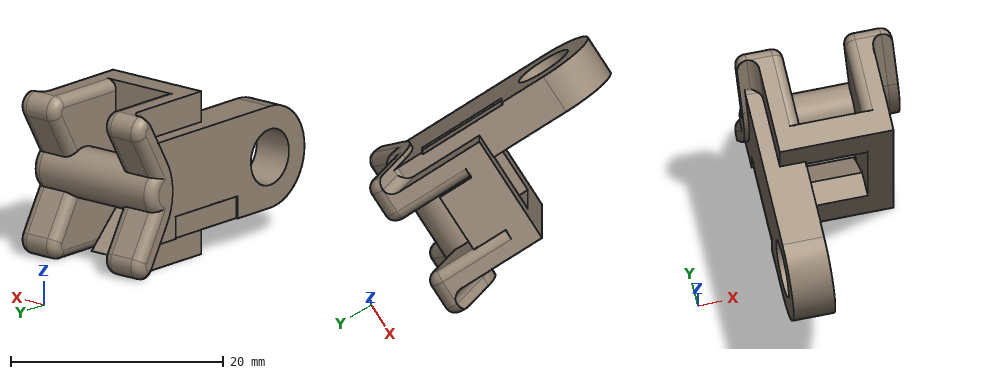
import cadquery as cq
import math

LENGTH = 24.5
WIDTH = 15.0
HEIGHT = 16.0

ARM_RADIUS = 5.0
HOLE_DIAMETER = 5.5
ARM_INSET = 0.5
ARM_ROOT_RADIUS = 0.5

LABEL_LENGTH = 8.95
LABEL_HEIGHT = 2.2
LABEL_START = 4.65
LABEL_DEPTH = 0.2

BRACKET_DEPTH = 11.4
WALL = 2.5
FLANGE_REACH = 2.0
WINDOW_HEIGHT = 8.95

FOOT_ANGLE = math.radians(45)

FLARE_ANGLE = math.radians(30)
FLANGE_THICKNESS = 2.0
TIP_RADIUS = 1.5
FLANGE_BEND_RADIUS = 6.0
EDGE_RADIUS = 1.0

PIN_RADIUS = 2.5
PIN_FROM_BACK = 7.0

front_y = LENGTH - ARM_RADIUS
back_y = front_y - BRACKET_DEPTH
pin_y = back_y + PIN_FROM_BACK
half_height = HEIGHT / 2
wall_inner_x = FLANGE_REACH + WALL
channel = WIDTH - 2 * wall_inner_x
slope = math.tan(FLARE_ANGLE)
tip_y = front_y - TIP_RADIUS
tip_to_rear = FLANGE_THICKNESS - TIP_RADIUS
tip_end_angle = math.pi - FLARE_ANGLE - math.acos(tip_to_rear / TIP_RADIUS)
tip_z = half_height - TIP_RADIUS * math.sin(tip_end_angle)
front_apex_y = tip_y + TIP_RADIUS / math.cos(FLARE_ANGLE) - tip_z * slope
rear_apex_y = front_apex_y - FLANGE_THICKNESS / math.cos(FLARE_ANGLE)


def plane_at(x):
    """YZ plane at the given X: local x is Y, local y is Z, the normal is +X."""
    return cq.Workplane("YZ", origin=(x, 0, 0))


def block(x_start, x_end, y_start, y_end, height):
    """Box centred on Z = 0."""
    size = (x_end - x_start, y_end - y_start, height)
    return cq.Workplane("XY").box(*size, centered=(False, False, True)).translate((x_start, y_start, 0))


def wall_plate():
    """Side wall at full reach, its front a V with round tips, its outline rounded on both faces."""
    tangent_y = tip_y + TIP_RADIUS * math.cos(FLARE_ANGLE)
    tangent_z = tip_z - TIP_RADIUS * math.sin(FLARE_ANGLE)
    end_y = tip_y + TIP_RADIUS * math.cos(tip_end_angle)
    mid_angle = (tip_end_angle - FLARE_ANGLE) / 2
    mid_y = tip_y + TIP_RADIUS * math.cos(mid_angle)
    mid_z = tip_z + TIP_RADIUS * math.sin(mid_angle)
    plate = (
        plane_at(0)
        .moveTo(back_y, -half_height)
        .lineTo(end_y, -half_height)
        .threePointArc((mid_y, -mid_z), (tangent_y, -tangent_z))
        .lineTo(front_apex_y, 0)
        .lineTo(tangent_y, tangent_z)
        .threePointArc((mid_y, mid_z), (end_y, half_height))
        .lineTo(back_y, half_height)
        .close()
        .extrude(wall_inner_x)
    )
    return plate.faces("<X or >X").edges().fillet(EDGE_RADIUS)


def space_behind_flange(x_start, x_end):
    """Everything behind the bent rear face of the flange, between two X planes."""
    bend_y = rear_apex_y + FLANGE_BEND_RADIUS / math.cos(FLARE_ANGLE)
    tangent_y = bend_y - FLANGE_BEND_RADIUS * math.cos(FLARE_ANGLE)
    tangent_z = FLANGE_BEND_RADIUS * math.sin(FLARE_ANGLE)
    end_z = HEIGHT
    end_y = rear_apex_y + end_z * slope
    rear_y = -LENGTH
    return (
        plane_at(x_start)
        .moveTo(rear_y, -end_z)
        .lineTo(end_y, -end_z)
        .lineTo(tangent_y, -tangent_z)
        .threePointArc((bend_y - FLANGE_BEND_RADIUS, 0), (tangent_y, tangent_z))
        .lineTo(end_y, end_z)
        .lineTo(rear_y, end_z)
        .close()
        .extrude(x_end - x_start)
    )


def side_wall():
    """Wall and flange with half of the pin, for the -X side."""
    pin = plane_at(0).center(pin_y, 0).circle(PIN_RADIUS).extrude(WIDTH / 2)
    pin = pin.faces("<X").edges().fillet(EDGE_RADIUS)
    relief = space_behind_flange(-FLANGE_REACH, FLANGE_REACH).faces(">X").edges().fillet(EDGE_RADIUS)
    return wall_plate().union(pin).cut(relief)


def back_wall():
    wall = block(FLANGE_REACH, WIDTH - FLANGE_REACH, back_y, back_y + WALL, HEIGHT)
    window = block(wall_inner_x, wall_inner_x + channel, back_y, back_y + WALL, WINDOW_HEIGHT)
    return wall.cut(window)


def foot():
    """Triangular rib below the window, sloping down from the sill towards the open front."""
    sill_z = -WINDOW_HEIGHT / 2
    inner_y = back_y + WALL
    foot_reach = (half_height + sill_z) / math.tan(FOOT_ANGLE)
    return (
        plane_at(wall_inner_x)
        .moveTo(inner_y, sill_z)
        .lineTo(inner_y + foot_reach, -half_height)
        .lineTo(inner_y, -half_height)
        .close()
        .extrude(channel)
    )


def arm_root(side):
    """Small concave fillet between the arm's edge and the flange; side is +1 (top) or -1."""
    corner_y = rear_apex_y + ARM_RADIUS * slope
    setback = ARM_ROOT_RADIUS * slope
    mid_y = corner_y - setback + ARM_ROOT_RADIUS * math.sin(FLARE_ANGLE)
    mid_z = ARM_RADIUS + ARM_ROOT_RADIUS * (1 - math.cos(FLARE_ANGLE))
    end_y = corner_y + setback * math.sin(FLARE_ANGLE)
    end_z = ARM_RADIUS + setback * math.cos(FLARE_ANGLE)
    return (
        plane_at(ARM_INSET)
        .moveTo(corner_y, side * ARM_RADIUS)
        .lineTo(corner_y - setback, side * ARM_RADIUS)
        .threePointArc((mid_y, side * mid_z), (end_y, side * end_z))
        .close()
        .extrude(FLANGE_REACH - ARM_INSET)
    )


def arm():
    body = block(ARM_INSET, wall_inner_x, 0, front_y, 2 * ARM_RADIUS)
    body = body.intersect(space_behind_flange(0, wall_inner_x))
    round_end = plane_at(ARM_INSET).circle(ARM_RADIUS).extrude(wall_inner_x - ARM_INSET)
    hole = plane_at(0).circle(HOLE_DIAMETER / 2).extrude(wall_inner_x)
    label = block(ARM_INSET, ARM_INSET + LABEL_DEPTH, LABEL_START, LABEL_START + LABEL_LENGTH, LABEL_HEIGHT)
    label = label.translate((0, 0, LABEL_HEIGHT / 2 - ARM_RADIUS))
    body = body.union(round_end).cut(hole).cut(label)
    return body.union(arm_root(1)).union(arm_root(-1))


left_side = side_wall()
right_side = left_side.mirror("YZ").translate((WIDTH, 0, 0))
result = left_side.union(right_side).union(back_wall()).union(foot()).union(arm())